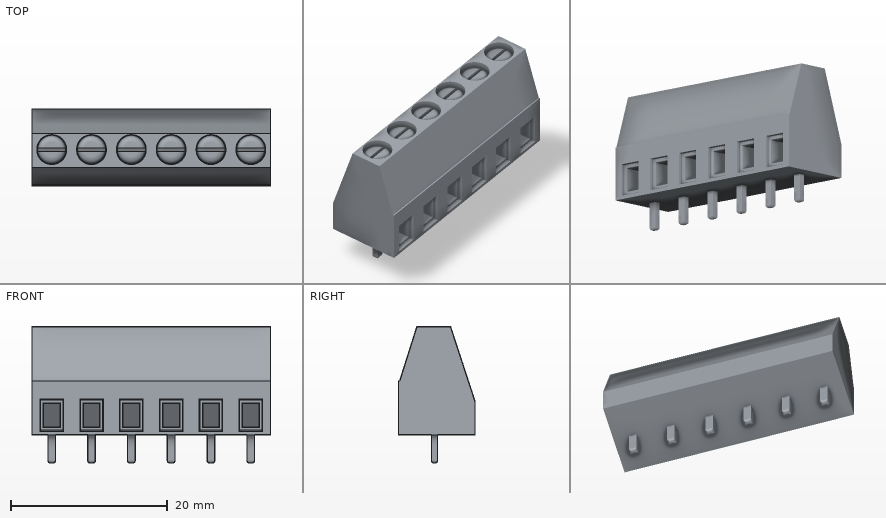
import cadquery as cq
import math


pole_count = 6
pitch = 5.08
pole_positions = [(i - (pole_count - 1) / 2) * pitch for i in range(pole_count)]

housing_length = pole_count * pitch
housing_depth = 9.8
housing_height = 13.8
front_y = -4.62
back_y = front_y + housing_depth
front_wall_height = 6.9
front_ledge = 0.17
back_wall_height = 4.25
front_slope_run = 2.35
back_slope_run = 3.13
top_front_y = front_y + front_slope_run
top_back_y = back_y - back_slope_run

entry_center_z = 2.5
entry_width = 3.0
entry_height = 4.1
clamp_setback = 0.45
clamp_gap = 0.08
clamp_bevel_height = 0.18
clamp_bevel_depth = 0.12
cavity_width = 2.08
cavity_height = 3.05
cavity_depth = 5.0
cavity_chamfer = 0.06

screw_bore_diameter = 3.8
screw_diameter = 3.68
screw_recess = 0.45
screw_edge_radius = 0.9
slot_width = 0.45
slot_depth = 0.6

pin_width = 1.0
pin_thickness = 0.8
pin_length = 3.6
pin_root_height = 0.3
pin_tip_radius = 0.35


def make_housing():
    """Extrude the cross-section, with its two sloping sides, along the poles."""
    profile = [
        (front_y, 0),
        (front_y, front_wall_height),
        (front_y + front_ledge, front_wall_height),
        (top_front_y, housing_height),
        (top_back_y, housing_height),
        (back_y, back_wall_height),
        (back_y, 0),
    ]
    return cq.Workplane("YZ").polyline(profile).close().extrude(housing_length / 2, both=True)


def make_wire_entry():
    """Window whose clamp is set back, with a bevelled lower edge, a side gap and a wire cavity."""
    bottom_z = entry_center_z - entry_height / 2
    clamp_y = front_y + clamp_setback
    clamp_back_y = clamp_y + clamp_bevel_depth
    window = (
        cq.Workplane("XY")
        .box(entry_width, clamp_back_y - front_y, entry_height, centered=(True, False, True))
        .translate((0, front_y, entry_center_z))
    )
    clamp_profile = [
        (clamp_y, bottom_z + clamp_bevel_height),
        (clamp_y, bottom_z + entry_height - clamp_gap),
        (clamp_back_y, bottom_z + entry_height - clamp_gap),
        (clamp_back_y, bottom_z),
    ]
    clamp_half_width = entry_width / 2 - clamp_gap
    clamp = cq.Workplane("YZ").polyline(clamp_profile).close().extrude(clamp_half_width, both=True)
    cavity = (
        cq.Workplane("XZ", origin=(0, clamp_y, entry_center_z))
        .rect(cavity_width, cavity_height)
        .extrude(-cavity_depth)
    )
    cavity_mouth = (
        cq.Workplane("XZ", origin=(0, clamp_y, entry_center_z))
        .rect(cavity_width + 2 * cavity_chamfer, cavity_height + 2 * cavity_chamfer)
        .extrude(-cavity_chamfer, taper=45)
    )
    return window.cut(clamp).union(cavity).union(cavity_mouth)


def make_screw_recess():
    """Bore around a sunken screw with a rounded head and a driver slot."""
    screw_top_z = housing_height - screw_recess
    head_base_z = screw_top_z - screw_edge_radius
    bore = (
        cq.Workplane("XY", origin=(0, 0, head_base_z))
        .circle(screw_bore_diameter / 2)
        .extrude(housing_height - head_base_z)
    )
    slot = (
        cq.Workplane("XY", origin=(0, 0, screw_top_z - slot_depth))
        .rect(screw_diameter, slot_width)
        .extrude(slot_depth)
    )
    head_radius = screw_diameter / 2
    flat_radius = head_radius - screw_edge_radius
    arc_step = screw_edge_radius * math.sqrt(0.5)
    head = (
        cq.Workplane("XZ")
        .moveTo(0, head_base_z)
        .lineTo(head_radius, head_base_z)
        .threePointArc((flat_radius + arc_step, head_base_z + arc_step), (flat_radius, screw_top_z))
        .lineTo(0, screw_top_z)
        .close()
        .revolve(360, (0, 0, 0), (0, 1, 0))
        .cut(slot)
    )
    return bore.cut(head)


def make_pin():
    """Rectangular solder pin with a rounded tip, rooted in the housing floor."""
    return (
        cq.Workplane("XY", origin=(0, 0, -pin_length))
        .rect(pin_width, pin_thickness)
        .extrude(pin_length + pin_root_height)
        .faces("<Z")
        .edges()
        .fillet(pin_tip_radius)
    )


result = make_housing()
wire_entry = make_wire_entry()
recess = make_screw_recess()
pin = make_pin()
for x in pole_positions:
    offset = (x, 0, 0)
    result = result.cut(wire_entry.translate(offset))
    result = result.cut(recess.translate(offset))
    result = result.union(pin.translate(offset))